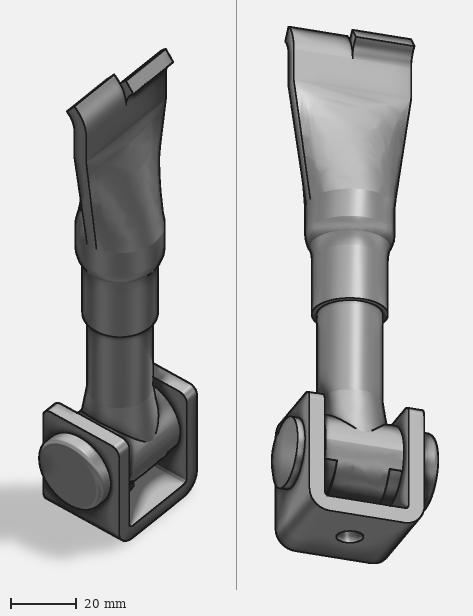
import cadquery as cq
import math

TOTAL_HEIGHT = 170.0

BRACKET_WIDTH = 30.0
BRACKET_HALF_SPAN = 18.5
BRACKET_HEIGHT = 40.1
BRACKET_WALL = 5.0
BEND_INNER_RADIUS = 1.5
ARM_CORNER_RADIUS = 3.0
BASE_HOLE_RADIUS = 4.0

PIN_AXIS_Z = 25.0
PIN_RADIUS = 7.0
HEAD_RADIUS = 11.0
HEAD_RIM_LENGTH = 2.4
DOME_HEIGHT = 2.9
DISC_RADIUS = 12.5
DISC_THICKNESS = 6.0
DISC_ROUNDING = 1.7

BARREL_RADIUS = 13.3
BARREL_HALF_LENGTH = 12.5
BULGE_DEPTH = 14.5
BULGE_HALF_LENGTH = 8.5
RELIEF_DROP = 6.1
SHANK_RADIUS = 10.0
NECK_BASE_RADIUS = 12.4
NECK_BASE_RISE = 4.6
NECK_TOP_Z = 44.9

SLEEVE_RADIUS = 11.5
SLEEVE_BOTTOM_Z = 75.0
SLEEVE_TOP_Z = 93.0
FLARE_RADIUS = 12.2
FLARE_Z = 97.5
FLARE_BULGE = 0.3
COLLAR_RADIUS = 13.6
COLLAR_BOTTOM_Z = 101.7
COLLAR_TOP_Z = 110.8
EDGE_STRIP_WIDTH = 3.7
BLADE_THICKNESS = 4.8
BLADE_WIDTH = 37.9
BLADE_BOTTOM_Z = 149.8
TAIL_INNER_RADIUS = 7.6
TAIL_ANGLE = math.radians(51.5)

SHANK_TOP_Z = COLLAR_BOTTOM_Z
BRACKET_INNER_HALF_SPAN = BRACKET_HALF_SPAN - BRACKET_WALL
TAIL_OUTER_RADIUS = TAIL_INNER_RADIUS + BLADE_THICKNESS
TAIL_BEND_Z = TOTAL_HEIGHT - TAIL_OUTER_RADIUS * math.sin(TAIL_ANGLE)


def cylinder_along_y(radius, y_start, y_end):
    """Cylinder on the pin axis between two Y positions."""
    length = y_end - y_start
    return cq.Workplane(cq.Solid.makeCylinder(
        radius, length, cq.Vector(0, y_start, PIN_AXIS_Z), cq.Vector(0, 1, 0)
    ))


def make_bracket():
    """Bent U strap with a pin hole through both arms and a hole in its base."""
    bend_outer_radius = BEND_INNER_RADIUS + BRACKET_WALL
    outer = (
        cq.Workplane("XY")
        .box(BRACKET_WIDTH, 2 * BRACKET_HALF_SPAN, BRACKET_HEIGHT, centered=(True, True, False))
        .edges("|X and <Z").fillet(bend_outer_radius)
        .edges("|Y and >Z").fillet(ARM_CORNER_RADIUS)
    )
    inside = (
        cq.Workplane("XY", origin=(0, 0, BRACKET_WALL))
        .box(BRACKET_WIDTH, 2 * BRACKET_INNER_HALF_SPAN, BRACKET_HEIGHT, centered=(True, True, False))
        .edges("|X and <Z").fillet(BEND_INNER_RADIUS)
    )
    pin_hole = cylinder_along_y(PIN_RADIUS, -BRACKET_HALF_SPAN, BRACKET_HALF_SPAN)
    base_hole = cq.Workplane("XY").circle(BASE_HOLE_RADIUS).extrude(BRACKET_WALL)
    return outer.cut(inside).cut(pin_hole).cut(base_hole)


def make_pin():
    """Shaft from the disc to the far arm, ending in a domed head."""
    rim_y = BRACKET_HALF_SPAN + HEAD_RIM_LENGTH
    dome_y = rim_y + DOME_HEIGHT
    dome_sphere_radius = (HEAD_RADIUS**2 + DOME_HEIGHT**2) / (2 * DOME_HEIGHT)
    half_radius = HEAD_RADIUS / 2
    half_way_y = dome_y - dome_sphere_radius + math.sqrt(dome_sphere_radius**2 - half_radius**2)
    return (
        cq.Workplane("XY", origin=(0, 0, PIN_AXIS_Z))
        .moveTo(0, -BRACKET_HALF_SPAN)
        .lineTo(PIN_RADIUS, -BRACKET_HALF_SPAN)
        .lineTo(PIN_RADIUS, BRACKET_HALF_SPAN)
        .lineTo(HEAD_RADIUS, BRACKET_HALF_SPAN)
        .lineTo(HEAD_RADIUS, rim_y)
        .threePointArc((half_radius, half_way_y), (0, dome_y))
        .close()
        .revolve(360, (0, 0, 0), (0, 1, 0))
    )


def make_disc():
    """Round disc against the near arm, with both rims rounded."""
    disc = cylinder_along_y(DISC_RADIUS, -BRACKET_HALF_SPAN - DISC_THICKNESS, -BRACKET_HALF_SPAN)
    return disc.faces("<Y or >Y").edges().fillet(DISC_ROUNDING)


def make_barrel():
    """Barrel of the eye: round above, bulging below, with both ends relieved underneath."""
    length = 2 * BARREL_HALF_LENGTH
    round_barrel = cylinder_along_y(BARREL_RADIUS, -BARREL_HALF_LENGTH, BARREL_HALF_LENGTH)
    bulge = (
        cq.Workplane("XZ", origin=(0, BARREL_HALF_LENGTH, PIN_AXIS_Z))
        .moveTo(-BARREL_RADIUS, 0)
        .ellipseArc(BARREL_RADIUS, BULGE_DEPTH, 180, 360, startAtCurrent=True)
        .close()
        .extrude(length)
    )
    relief_length = BARREL_HALF_LENGTH - BULGE_HALF_LENGTH
    relief_centre_y = BULGE_HALF_LENGTH + relief_length / 2
    for side in (-1, 1):
        relief = (
            cq.Workplane("XY", origin=(0, side * relief_centre_y, PIN_AXIS_Z - BULGE_DEPTH))
            .box(2 * BARREL_RADIUS, relief_length, BULGE_DEPTH - RELIEF_DROP, centered=(True, True, False))
        )
        bulge = bulge.cut(relief)
    return round_barrel.union(bulge)


def make_eye_bolt():
    """Barrel with the pin bore, a conical neck and a round shank."""
    neck_and_shank = (
        cq.Workplane("XZ")
        .moveTo(0, PIN_AXIS_Z + NECK_BASE_RISE)
        .lineTo(NECK_BASE_RADIUS, PIN_AXIS_Z + NECK_BASE_RISE)
        .lineTo(SHANK_RADIUS, NECK_TOP_Z)
        .lineTo(SHANK_RADIUS, SHANK_TOP_Z)
        .lineTo(0, SHANK_TOP_Z)
        .close()
        .revolve(360, (0, 0, 0), (0, 1, 0))
    )
    bore = cylinder_along_y(PIN_RADIUS, -BARREL_HALF_LENGTH, BARREL_HALF_LENGTH)
    return make_barrel().union(neck_and_shank).cut(bore)


def make_flattened_body():
    """Ruled transition from the round collar to the flat blade, with narrow flat edges."""
    strip_x = EDGE_STRIP_WIDTH / 2
    strip_y = math.sqrt(COLLAR_RADIUS**2 - strip_x**2)
    blade_x = BLADE_THICKNESS / 2
    blade_y = BLADE_WIDTH / 2
    return (
        cq.Workplane("XY", origin=(0, 0, COLLAR_TOP_Z))
        .moveTo(strip_x, -strip_y)
        .threePointArc((COLLAR_RADIUS, 0), (strip_x, strip_y))
        .threePointArc((0, COLLAR_RADIUS), (-strip_x, strip_y))
        .threePointArc((-COLLAR_RADIUS, 0), (-strip_x, -strip_y))
        .threePointArc((0, -COLLAR_RADIUS), (strip_x, -strip_y))
        .close()
        .workplane(offset=BLADE_BOTTOM_Z - COLLAR_TOP_Z)
        .moveTo(blade_x, -blade_y)
        .lineTo(blade_x, blade_y)
        .lineTo(-blade_x, blade_y)
        .lineTo(-blade_x, -blade_y)
        .close()
        .loft(ruled=True)
    )


def make_tail(side):
    """Half of the blade on the given Y side, with its tip bent towards the same X side."""
    half_angle = TAIL_ANGLE / 2
    bend_centre_x = BLADE_THICKNESS / 2 + TAIL_INNER_RADIUS

    def bend_point(radius, angle):
        x = side * (bend_centre_x - radius * math.cos(angle))
        return (x, TAIL_BEND_Z + radius * math.sin(angle))

    return (
        cq.Workplane("XZ")
        .moveTo(-side * BLADE_THICKNESS / 2, BLADE_BOTTOM_Z)
        .lineTo(*bend_point(TAIL_OUTER_RADIUS, 0))
        .threePointArc(bend_point(TAIL_OUTER_RADIUS, half_angle), bend_point(TAIL_OUTER_RADIUS, TAIL_ANGLE))
        .lineTo(*bend_point(TAIL_INNER_RADIUS, TAIL_ANGLE))
        .threePointArc(bend_point(TAIL_INNER_RADIUS, half_angle), bend_point(TAIL_INNER_RADIUS, 0))
        .lineTo(side * BLADE_THICKNESS / 2, BLADE_BOTTOM_Z)
        .close()
        .extrude(-side * BLADE_WIDTH / 2)
    )


def make_anchor():
    """Sleeve and collar around the shank end, flattened above into a blade with a split tail."""
    anchor = (
        cq.Workplane("XZ")
        .moveTo(0, SLEEVE_BOTTOM_Z)
        .lineTo(SLEEVE_RADIUS, SLEEVE_BOTTOM_Z)
        .lineTo(SLEEVE_RADIUS, SLEEVE_TOP_Z)
        .tangentArcPoint((FLARE_RADIUS, FLARE_Z), relative=False)
        .sagittaArc((COLLAR_RADIUS, COLLAR_BOTTOM_Z), -FLARE_BULGE)
        .lineTo(COLLAR_RADIUS, COLLAR_TOP_Z)
        .lineTo(0, COLLAR_TOP_Z)
        .close()
        .revolve(360, (0, 0, 0), (0, 1, 0))
    )
    anchor = anchor.union(make_flattened_body())
    for side in (-1, 1):
        anchor = anchor.union(make_tail(side))
    shank_hole = (
        cq.Workplane("XY", origin=(0, 0, SLEEVE_BOTTOM_Z))
        .circle(SHANK_RADIUS)
        .extrude(SHANK_TOP_Z - SLEEVE_BOTTOM_Z)
    )
    return anchor.cut(shank_hole)


bracket = make_bracket()
pin = make_pin()
disc = make_disc()
eye_bolt = make_eye_bolt()
anchor = make_anchor()

result = cq.Compound.makeCompound(
    [bracket.val(), pin.val(), disc.val(), eye_bolt.val(), anchor.val()]
)